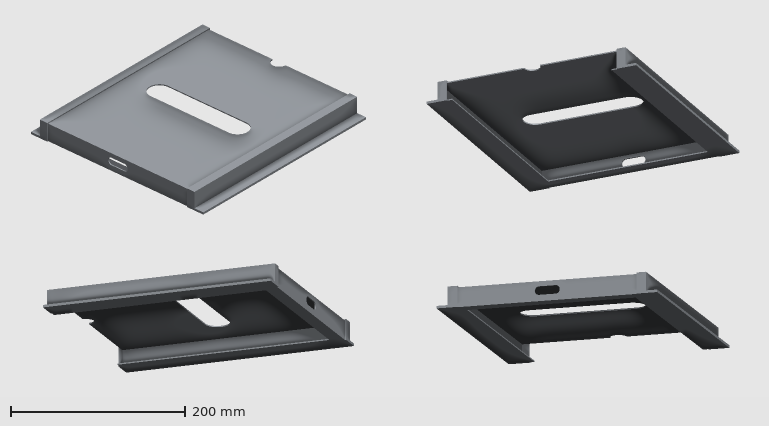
import cadquery as cq

length = 280.0
height = 25.0
sheet = 1.5

flange_width = 13.5
rail_outer_width = 238.0
rail_width = 11.5
total_width = rail_outer_width + 2 * flange_width
rail_x = (rail_outer_width - rail_width) / 2

panel_width = rail_outer_width - 2 * rail_width
panel_length = length - 2 * sheet
panel_top = height - sheet
panel_end = panel_length / 2

cavity_width = rail_outer_width - 4 * sheet
cavity_top = panel_top - sheet
cavity_front = -panel_end + sheet

panel_slot_length = 150.0
panel_slot_width = 30.0
wall_slot_length = 30.0
wall_slot_height = 10.0
wall_slot_z = height / 2
notch_radius = 10.0

base_lip = 15.0
base_opening_width = cavity_width - 2 * base_lip
base_opening_front = cavity_front + base_lip


def block(width, front, rear, bottom, top, x=0.0):
    """Box centred on x, spanning front to rear in Y and bottom to top in Z."""
    return (
        cq.Workplane("XY")
        .box(width, rear - front, top - bottom, centered=(True, False, False))
        .translate((x, front, bottom))
    )


def layout(bottom, rail_top, flange_top, middle_top):
    """Middle slab with a longer rail and an outer flange on each side."""
    body = block(panel_width, -panel_end, panel_end, bottom, middle_top)
    for side in (-1, 1):
        rail = block(rail_width, -length / 2, length / 2, bottom, rail_top, side * rail_x)
        flange_x = side * (total_width - flange_width) / 2
        flange = block(flange_width, -length / 2, length / 2, bottom, flange_top, flange_x)
        body = body.union(rail).union(flange)
    return body


def make_cover():
    """Hat-shaped cover: panel, rails, flanges and front wall, open at the rear."""
    body = layout(sheet, height, 2 * sheet, panel_top)
    body = body.cut(block(cavity_width, cavity_front, panel_end, sheet, cavity_top))

    panel_slot = (
        cq.Workplane("XY")
        .slot2D(panel_slot_length, panel_slot_width)
        .extrude(height)
    )
    notch = (
        cq.Workplane("XY")
        .center(0, panel_end)
        .circle(notch_radius)
        .extrude(height)
    )
    wall_slot = (
        cq.Workplane("XZ", origin=(0, cavity_front, wall_slot_z))
        .slot2D(wall_slot_length, wall_slot_height)
        .extrude(2 * sheet)
    )
    return body.cut(panel_slot).cut(notch).cut(wall_slot)


def make_base():
    """Flat U-shaped frame under the flanges, rails and front wall."""
    body = layout(0, sheet, sheet, sheet)
    return body.cut(block(base_opening_width, base_opening_front, panel_end, 0, sheet))


cover = make_cover()
base = make_base()

result = cq.Compound.makeCompound([cover.val(), base.val()])